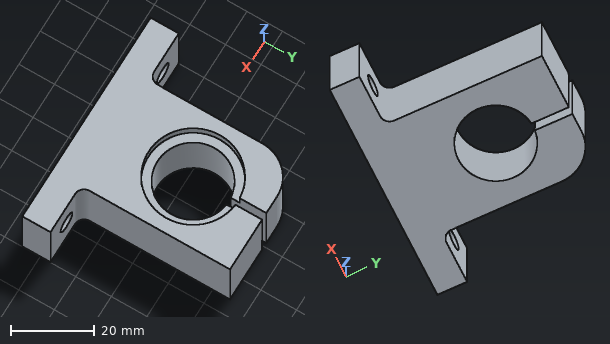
import cadquery as cq

base_length = 60.0
total_depth = 50.0
height = 20.0
base_thickness = 8.0
column_width = 32.0
outer_corner_radius = 10.0
inner_fillet_radius = 2.5

bore_diameter = 20.0
bore_center_y = 30.0
counterbore_diameter = 25.0
counterbore_depth = 3.0

slit_width = 2.0
mount_hole_diameter = 5.5
mount_hole_spacing = 45.0


def make_body():
    """T-shaped bracket with one rounded outer corner, front face at Y = 0."""
    base = cq.Workplane("XY").box(base_length, base_thickness, height, centered=(True, False, False))
    column = cq.Workplane("XY").box(column_width, total_depth, height, centered=(True, False, False))
    column = column.edges("|Z and <X and >Y").fillet(outer_corner_radius)
    body = base.union(column)
    margin = inner_fillet_radius / 2
    inner_corners = cq.selectors.BoxSelector(
        (-column_width / 2 - margin, base_thickness - margin, 0),
        (column_width / 2 + margin, base_thickness + margin, height),
    )
    return body.edges("|Z").edges(inner_corners).fillet(inner_fillet_radius)


def cut_bore(body):
    """Counterbored shaft hole through the full height."""
    return (
        body.faces(">Z")
        .workplane(origin=(0, bore_center_y, height))
        .cboreHole(bore_diameter, counterbore_diameter, counterbore_depth)
    )


def make_slit():
    """Cutter from the bore axis out through the back of the column."""
    return (
        cq.Workplane("XY")
        .box(slit_width, total_depth - bore_center_y, height, centered=(True, False, False))
        .translate((0, bore_center_y, 0))
    )


def make_mount_holes():
    """Cutters for the two mounting holes through the base plate."""
    half_spacing = mount_hole_spacing / 2
    return (
        cq.Workplane("XZ", origin=(0, 0, height / 2))
        .pushPoints([(-half_spacing, 0), (half_spacing, 0)])
        .circle(mount_hole_diameter / 2)
        .extrude(-base_thickness)
    )


result = cut_bore(make_body()).cut(make_slit()).cut(make_mount_holes())